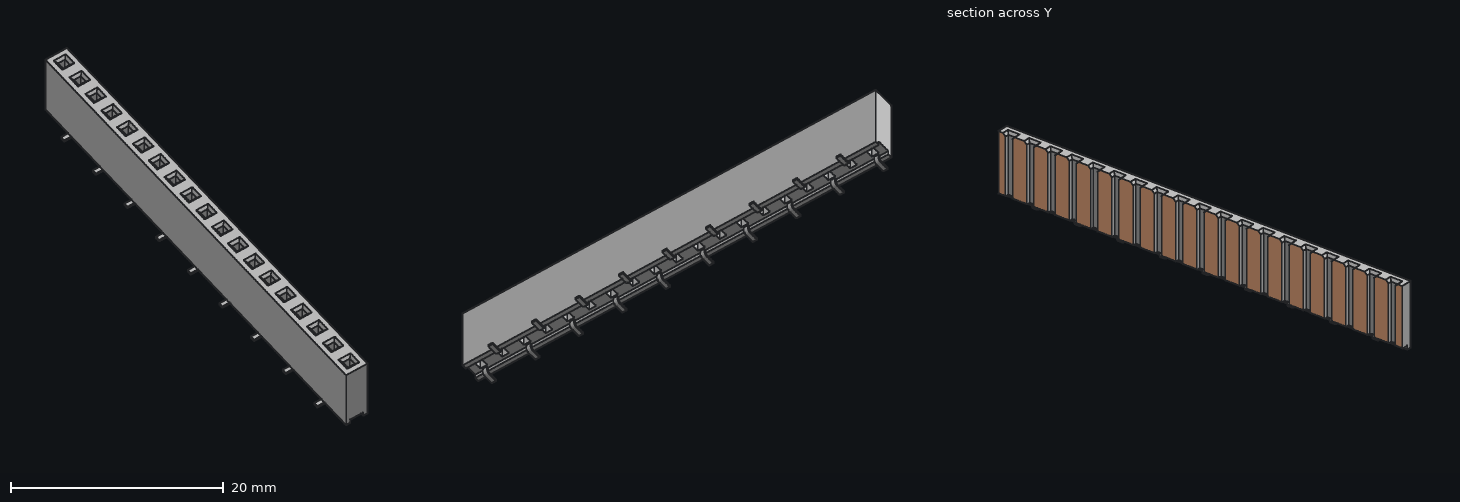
import cadquery as cq

pin_count = 19
pitch = 2.54

housing_length = pin_count * pitch
housing_width = 2.5
total_height = 7.5
standoff = 0.3
channel_width = 1.5
channel_top = 0.75

socket_side = 0.8
mouth_side = 1.4
mouth_depth = 0.3

terminal_span = 4.0
terminal_width = 0.5
terminal_thickness = 0.2
terminal_inner_y = channel_width / 2 - terminal_thickness
bend_inner_radius = 0.2
bend_outer_radius = bend_inner_radius + terminal_thickness

pin_positions = [(i - (pin_count - 1) / 2) * pitch for i in range(pin_count)]


def make_housing():
    """Rectangular bar with a channel along its whole underside."""
    bar = cq.Workplane("XY", origin=(0, 0, standoff)).box(
        housing_length, housing_width, total_height - standoff, centered=(True, True, False)
    )
    channel = cq.Workplane("XY").box(
        housing_length, channel_width, channel_top, centered=(True, True, False)
    )
    return bar.cut(channel)


def make_socket_cutter(x):
    """Square through hole that widens into a funnel at the top face."""
    hole = cq.Workplane("XY").center(x, 0).rect(socket_side, socket_side).extrude(total_height)
    funnel = (
        cq.Workplane("XY", origin=(x, 0, total_height))
        .rect(mouth_side, mouth_side)
        .workplane(offset=-mouth_depth)
        .rect(socket_side, socket_side)
        .loft(ruled=True)
    )
    return hole.union(funnel)


def make_terminal(x, side):
    """Leg down from the channel ceiling, bent outward into a flat foot; side is +1 or -1 in Y."""
    leg_outer_y = channel_width / 2
    foot_end_y = terminal_span / 2
    profile = (
        cq.Workplane("YZ", origin=(x - terminal_width / 2, 0, 0))
        .moveTo(side * terminal_inner_y, channel_top)
        .lineTo(side * terminal_inner_y, bend_outer_radius)
        .radiusArc((side * (terminal_inner_y + bend_outer_radius), 0), -side * bend_outer_radius)
        .lineTo(side * foot_end_y, 0)
        .lineTo(side * foot_end_y, terminal_thickness)
        .lineTo(side * (leg_outer_y + bend_inner_radius), terminal_thickness)
        .radiusArc((side * leg_outer_y, bend_outer_radius), side * bend_inner_radius)
        .lineTo(side * leg_outer_y, channel_top)
        .close()
    )
    return profile.extrude(terminal_width)


def terminal_side(index):
    """Feet alternate along the row, starting on the +Y side."""
    return 1 if index % 2 == 0 else -1


sockets = [make_socket_cutter(x).val() for x in pin_positions]
terminals = [make_terminal(x, terminal_side(index)).val() for index, x in enumerate(pin_positions)]
strip = make_housing().val().cut(*sockets).fuse(*terminals)
result = cq.Workplane("XY").newObject(strip.Solids())